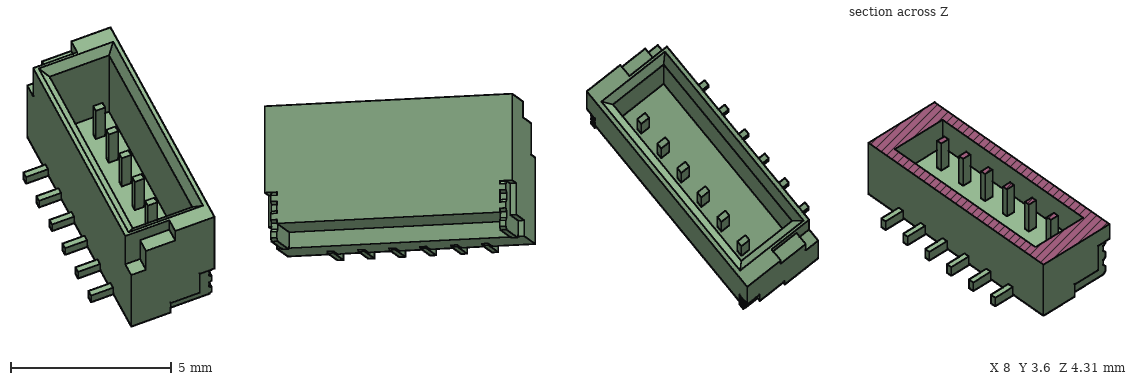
import cadquery as cq


length = 8.0
depth = 2.85
height = 4.26

side_wall = 0.54
long_wall = 0.15
lead_in = 0.26
floor_height = 1.0

notch_leg = 1.5
notch_width = 0.5
top_notch_depth = 0.46

clip_inset = 0.2
clip_thickness = 0.2
clip_bevel = 0.1
tooth_count = 3

standoff = 0.05
pin_count = 6
pin_pitch = 1.0
pin_width = 0.2
post_front = 1.63
post_depth = 0.32
post_top = 2.5
tail_reach = 0.75
tail_height = 0.36
tail_root = 0.56


def block(x_range, y_range, z_range):
    """Box between the given limits."""
    starts, ends = zip(x_range, y_range, z_range)
    sizes = [end - start for start, end in zip(starts, ends)]
    return cq.Workplane("XY").box(*sizes, centered=False).translate(starts)


def plate(points, x_start, thickness):
    """Plate with a (Y, Z) outline, extruded towards +X."""
    return cq.Workplane("YZ", origin=(x_start, 0, 0)).polyline(points).close().extrude(thickness)


def both_ends(shape):
    """The shape together with its mirror image at the other end."""
    return shape.union(shape.mirror("YZ"))


def socket():
    """Cavity with a 45 degree lead-in around its mouth."""
    mouth_length = length - 2 * side_wall
    mouth_depth = depth - 2 * long_wall
    well = (
        cq.Workplane("XY", origin=(0, depth / 2, floor_height))
        .rect(mouth_length - 2 * lead_in, mouth_depth - 2 * lead_in)
        .extrude(height - floor_height)
    )
    mouth = (
        cq.Workplane("XY", origin=(0, depth / 2, height))
        .rect(mouth_length, mouth_depth)
        .extrude(-lead_in, taper=45)
    )
    return well.union(mouth)


def top_notch():
    """L-shaped notch in the upper front corner of the left end."""
    points = [
        (0, height),
        (notch_leg, height),
        (notch_leg, height - notch_width),
        (notch_width, height - notch_width),
        (notch_width, height - notch_leg),
        (0, height - notch_leg),
    ]
    return plate(points, -length / 2, top_notch_depth)


def clip_pocket():
    """Upright recess for the clip in the lower back corner of the left end."""
    x_range = (-length / 2, -length / 2 + clip_inset + clip_thickness)
    return block(x_range, (depth - notch_width, depth), (0, notch_leg))


def underside_step():
    """Full-length step under the back of the housing."""
    return block((-length / 2, length / 2), (depth - notch_leg, depth), (0, notch_width))


def clip():
    """L-shaped solder clip of the left end, with bevelled teeth along its back edge."""
    foot_front = depth - notch_leg
    upright_front = depth - notch_width
    tooth_root = depth - clip_bevel
    bevel_count = 2 * tooth_count
    flat_count = 2 * tooth_count - 1
    flat = (notch_leg + standoff - bevel_count * clip_bevel) / flat_count
    tooth_pitch = 2 * (flat + clip_bevel)

    points = [
        (upright_front, notch_leg),
        (upright_front, notch_width),
        (foot_front, notch_width),
        (foot_front, clip_bevel - standoff),
        (foot_front + clip_bevel, -standoff),
    ]
    for index in range(tooth_count):
        tooth_base = index * tooth_pitch - standoff
        points += [
            (tooth_root, tooth_base),
            (depth, tooth_base + clip_bevel),
            (depth, tooth_base + clip_bevel + flat),
            (tooth_root, tooth_base + 2 * clip_bevel + flat),
        ]
    return plate(points, -length / 2 + clip_inset, clip_thickness)


def terminal(x_center):
    """Contact post in the socket and its solder tail at the front."""
    x_range = (x_center - pin_width / 2, x_center + pin_width / 2)
    post = block(x_range, (post_front, post_front + post_depth), (notch_width, post_top))
    tail = block(x_range, (-tail_reach, tail_root), (-standoff, tail_height - standoff))
    tail = tail.faces(">Y").edges("<Z").chamfer(clip_bevel)
    return post.union(tail)


housing = block((-length / 2, length / 2), (0, depth), (0, height))
housing = housing.cut(socket()).cut(underside_step())
housing = housing.cut(both_ends(top_notch())).cut(both_ends(clip_pocket()))

result = housing.union(both_ends(clip()))
for pin in range(pin_count):
    result = result.union(terminal((pin - (pin_count - 1) / 2) * pin_pitch))